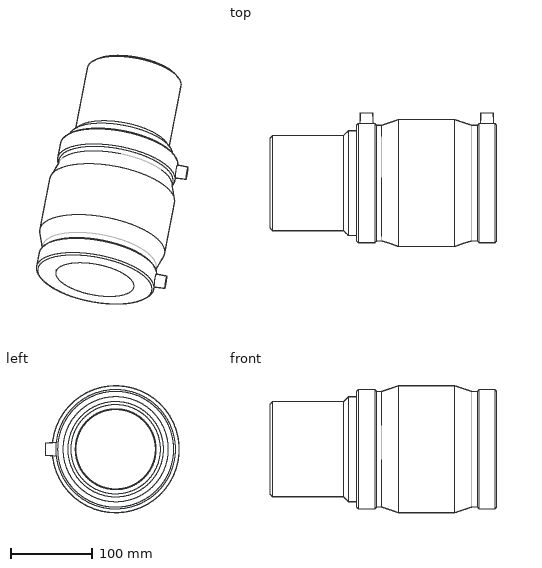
import cadquery as cq

length = 280.0
spigot_diameter = 118.0
spigot_tip_diameter = 110.3
spigot_tip_length = 3.5
shoulder_diameter = 130.0
neck_diameter = 143.0
band_diameter = 147.5
body_diameter = 157.0

spigot_end = 91.0
shoulder_start = 97.2
collar_start = 107.0
collar_end = 132.0
front_cone_start = 138.0
body_start = 158.8
body_end = 228.2
rear_cone_end = 249.2
rear_collar_start = 256.2
band_chamfer = 2.2

spigot_bore = 100.0
body_bore = 98.0
bore_step = collar_start

terminal_base_diameter = 16.8
terminal_tip_diameter = 15.7
terminal_tip_y = 86.8
terminal_base_y = 70.0
terminal_stations = [
    (collar_start + collar_end) / 2,
    (rear_collar_start + length) / 2,
]


def collar_points(start, end):
    """Outline of a raised collar, bevelled from the neck up to its band."""
    return [
        (start, neck_diameter / 2),
        (start + band_chamfer, band_diameter / 2),
        (end - band_chamfer, band_diameter / 2),
        (end, neck_diameter / 2),
    ]


def turned_body():
    """Hollow body: spigot, shoulder, two collars and the coned barrel."""
    outline = [
        (0, spigot_bore / 2),
        (0, spigot_tip_diameter / 2),
        (spigot_tip_length, spigot_diameter / 2),
        (spigot_end, spigot_diameter / 2),
        (shoulder_start, shoulder_diameter / 2),
        (collar_start, shoulder_diameter / 2),
        *collar_points(collar_start, collar_end),
        (front_cone_start, neck_diameter / 2),
        (body_start, body_diameter / 2),
        (body_end, body_diameter / 2),
        (rear_cone_end, neck_diameter / 2),
        *collar_points(rear_collar_start, length),
        (length, body_bore / 2),
        (bore_step, body_bore / 2),
        (bore_step, spigot_bore / 2),
    ]
    return cq.Workplane("XY").polyline(outline).close().revolve(360, (0, 0, 0), (1, 0, 0))


def terminal(x):
    """Tapered pin rooted inside the collar wall at station x."""
    cone = cq.Solid.makeCone(
        terminal_base_diameter / 2,
        terminal_tip_diameter / 2,
        terminal_tip_y - terminal_base_y,
        pnt=cq.Vector(x, terminal_base_y, 0),
        dir=cq.Vector(0, 1, 0),
    )
    return cq.Workplane(obj=cone)


result = turned_body()
for station in terminal_stations:
    result = result.union(terminal(station))